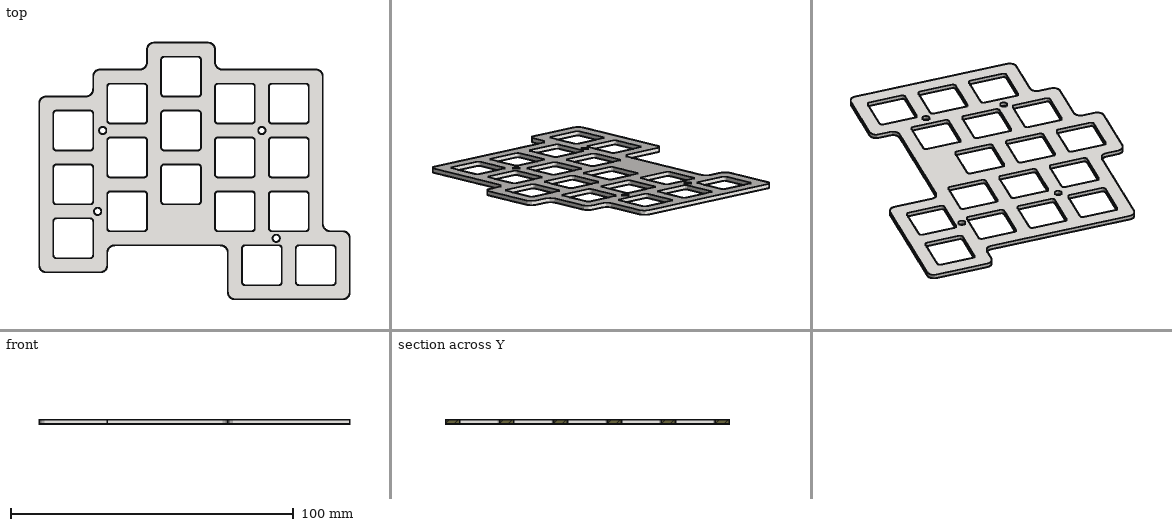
import cadquery as cq

thickness = 1.6
pitch = 19.05
cutout_size = 14.0
cutout_radius = 1.0
edge_border = 2.54
corner_radius = edge_border
screw_diameter = 2.5
rows_per_column = 3

stagger = pitch / 2
margin = pitch / 2 + edge_border
key_span_x = 4.5 * pitch
key_span_y = 3.5 * pitch
first_column_x = -key_span_x / 2
highest_key_y = key_span_y / 2
thumb_y = -key_span_y / 2
column_drops = [2 * stagger, stagger, 0, stagger, stagger]
column_x = [first_column_x + i * pitch for i in range(len(column_drops))]
top_key_y = [highest_key_y - drop for drop in column_drops]
thumb_x = [column_x[3] + pitch / 2, column_x[4] + pitch / 2]

finger_keys = [
    (x, top_y - row * pitch)
    for x, top_y in zip(column_x, top_key_y)
    for row in range(rows_per_column)
]
thumb_keys = [(x, thumb_y) for x in thumb_x]

left_screw_shift = 0.89
thumb_screw_shift = 5.08
first_gap_x = column_x[0] + pitch / 2
last_gap_x = column_x[3] + pitch / 2
screw_points = [
    (first_gap_x + left_screw_shift, top_key_y[0]),
    (last_gap_x, top_key_y[0]),
    (first_gap_x - left_screw_shift, top_key_y[0] - 1.5 * pitch),
    (last_gap_x + thumb_screw_shift, top_key_y[0] - 2 * pitch),
]


def make_plate():
    """Stepped outline following the column stagger, all vertical corners rounded."""
    left = column_x[0] - margin
    right = thumb_x[1] + margin
    bottom = thumb_y - margin
    column_depth = (rows_per_column - 1) * pitch
    inner_bottom = top_key_y[1] - column_depth - margin
    left_foot_bottom = top_key_y[0] - column_depth - margin
    outline = [
        (left, left_foot_bottom),
        (column_x[0] + margin, left_foot_bottom),
        (column_x[0] + margin, inner_bottom),
        (thumb_x[0] - margin, inner_bottom),
        (thumb_x[0] - margin, bottom),
        (right, bottom),
        (right, thumb_y + margin),
        (column_x[4] + margin, thumb_y + margin),
        (column_x[4] + margin, top_key_y[4] + margin),
        (column_x[2] + margin, top_key_y[4] + margin),
        (column_x[2] + margin, top_key_y[2] + margin),
        (column_x[2] - margin, top_key_y[2] + margin),
        (column_x[2] - margin, top_key_y[1] + margin),
        (column_x[1] - margin, top_key_y[1] + margin),
        (column_x[1] - margin, top_key_y[0] + margin),
        (left, top_key_y[0] + margin),
    ]
    plate = cq.Workplane("XY").polyline(outline).close().extrude(thickness)
    return plate.edges("|Z").fillet(corner_radius)


def make_switch_cutouts():
    """Square openings with slightly rounded corners, one per key."""
    cutouts = (
        cq.Workplane("XY")
        .pushPoints(finger_keys + thumb_keys)
        .rect(cutout_size, cutout_size)
        .extrude(thickness)
    )
    return cutouts.edges("|Z").fillet(cutout_radius)


def make_screw_holes():
    """Plain through holes."""
    return cq.Workplane("XY").pushPoints(screw_points).circle(screw_diameter / 2).extrude(thickness)


result = make_plate().cut(make_switch_cutouts()).cut(make_screw_holes())